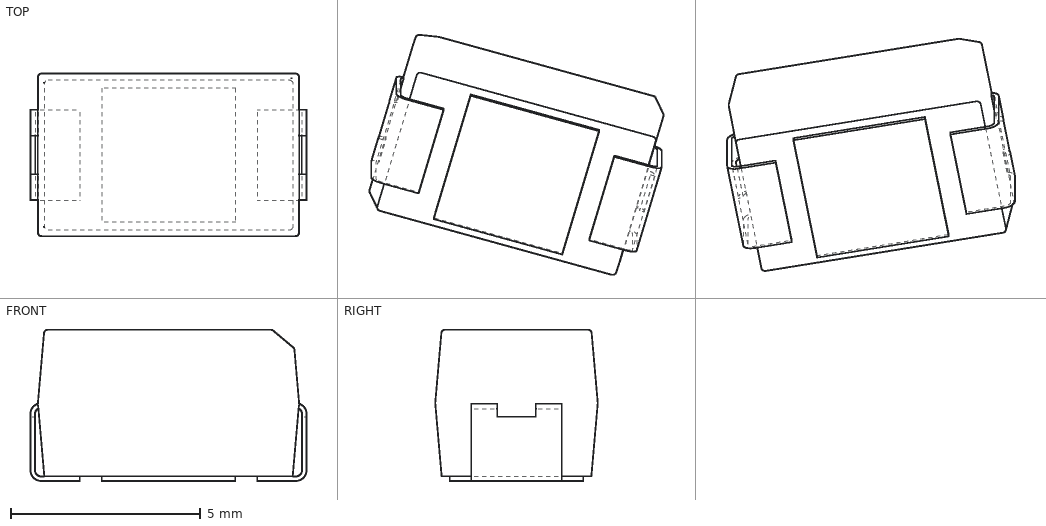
import cadquery as cq
import math

overall_length = 7.3
overall_width = 4.3
overall_height = 4.0

sheet_thickness = 0.125
body_length = 6.905
body_width = overall_width
draft_angle = 5.0
edge_radius = 0.1
body_bottom = sheet_thickness
half_height = (overall_height - body_bottom) / 2
parting_height = body_bottom + half_height

slope_start = 2.74
slope_angle = 40.0

pad_size = 3.53

lead_width = 2.395
lead_bend_radius = 0.29
lead_foot_end = 2.34
lead_embed = 0.365
notch_width = 1.02
notch_bottom = 1.69


def tapered_half(direction):
    """Half of the body, narrowing from the parting plane along direction (+1 up, -1 down)."""
    half = (
        cq.Workplane("XY")
        .rect(body_length, body_width)
        .extrude(direction * half_height, taper=draft_angle)
    )
    return half.translate((0, 0, parting_height))


def upper_body():
    """Upper half with the sloped end face, rounded on every edge above the parting plane."""
    run = body_length / 2 - slope_start
    drop = run * math.tan(math.radians(slope_angle))
    wedge = (
        cq.Workplane("XZ")
        .moveTo(slope_start, overall_height)
        .lineTo(slope_start + run, overall_height)
        .lineTo(slope_start + run, overall_height - drop)
        .close()
        .extrude(body_width / 2, both=True)
    )
    return tapered_half(1).cut(wedge).faces("not <Z").edges("not <Z").fillet(edge_radius)


def lower_body():
    """Lower half with its four slanted corner edges rounded."""
    return tapered_half(-1).edges("not #Z").fillet(edge_radius)


def bottom_pad():
    return cq.Workplane("XY").box(pad_size, pad_size, sheet_thickness, centered=(True, True, False))


def lead():
    """C-shaped lead at the -X end, with a notch in its upper bend."""
    outer_x = -overall_length / 2
    tab_end = -body_length / 2 + lead_embed
    foot_end = -lead_foot_end
    strip_length = overall_length / 2 - lead_foot_end

    def block(inset):
        width = strip_length - inset
        height = parting_height - 2 * inset
        return (
            cq.Workplane("XY")
            .box(width, lead_width, height, centered=(False, True, False))
            .edges("|Y and <X")
            .fillet(lead_bend_radius - inset)
            .translate((outer_x + inset, 0, inset))
        )

    strip = block(0).cut(block(sheet_thickness))
    surplus_tab = (
        cq.Workplane("XY")
        .box(foot_end - tab_end, lead_width, sheet_thickness, centered=(False, True, False))
        .translate((tab_end, 0, parting_height - sheet_thickness))
    )
    notch = (
        cq.Workplane("XY")
        .box(strip_length, notch_width, parting_height - notch_bottom, centered=(False, True, False))
        .translate((outer_x, 0, notch_bottom))
    )
    return strip.cut(surplus_tab).cut(notch)


left_lead = lead()
right_lead = left_lead.mirror("YZ")

result = (
    lower_body()
    .union(upper_body())
    .union(bottom_pad())
    .union(left_lead)
    .union(right_lead)
)